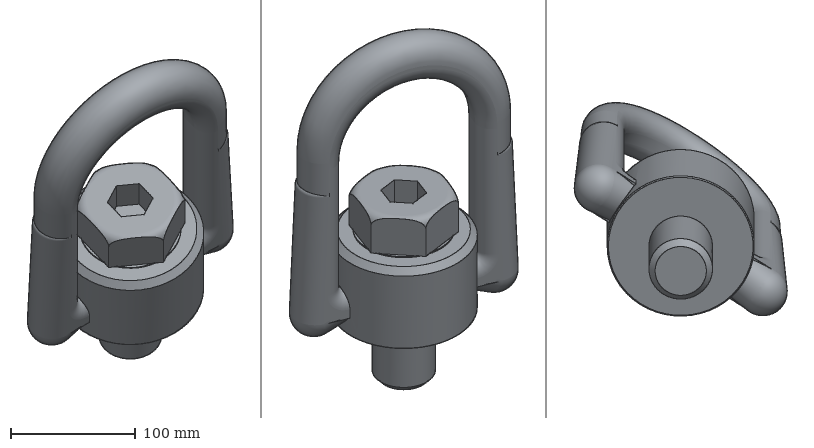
import cadquery as cq
import math

body_bottom = 65.0
body_top = 141.0
washer_top = 142.0
head_top = 177.5
ring_top = 328.0

shank_dia = 51.0
shank_chamfer_width = 5.0
shank_chamfer_height = 5.5
body_dia = 117.8
body_top_chamfer = 5.5
body_bottom_chamfer = 1.0
washer_dia = 81.5
head_across_flats = 76.5
head_top_dia = 70.5
socket_across_flats = 31.8
socket_depth = 26.2

ring_width = 39.0
rim_radius = ring_width / 2
arch_centre_z = 236.5
rim_path_radius = ring_top - arch_centre_z - rim_radius

opening_half_width = 60.5
opening_arch_z = 230.0
opening_bottom = 105.0
opening_corner_radius = 4.0
opening_rounding = 14.5

collar_z = 208.0
collar_axis_y = 73.5
collar_rounding = 4.0
foot_y = 78.7
foot_z = 82.5
pivot_y = 59.7
pivot_z = 90.5


def make_shank():
    shank = cq.Workplane("XY").circle(shank_dia / 2).extrude(body_bottom)
    return shank.faces("<Z").chamfer(shank_chamfer_height, shank_chamfer_width)


def make_body():
    body = (
        cq.Workplane("XY", origin=(0, 0, body_bottom))
        .circle(body_dia / 2)
        .extrude(body_top - body_bottom)
    )
    body = body.faces(">Z").chamfer(body_top_chamfer)
    return body.faces("<Z").chamfer(body_bottom_chamfer)


def across_corners(across_flats):
    return across_flats / math.cos(math.pi / 6)


def hexagon(across_flats, bottom, height):
    """Hexagonal prism with two corners on the X axis."""
    return (
        cq.Workplane("XY", origin=(0, 0, bottom))
        .polygon(6, across_corners(across_flats))
        .extrude(height)
    )


def make_head():
    corner_radius = across_corners(head_across_flats) / 2
    washer = (
        cq.Workplane("XY", origin=(0, 0, body_top))
        .circle(washer_dia / 2)
        .extrude(washer_top - body_top)
    )
    prism = hexagon(head_across_flats, washer_top, head_top - washer_top)
    turned_envelope = (
        cq.Workplane("XY", origin=(0, 0, washer_top))
        .circle(corner_radius)
        .extrude(head_top - washer_top)
        .faces(">Z")
        .edges()
        .fillet(corner_radius - head_top_dia / 2)
    )
    socket = hexagon(socket_across_flats, head_top - socket_depth, socket_depth)
    return washer.union(prism.intersect(turned_envelope)).cut(socket)


def plate(outline):
    """Extrude a YZ outline to the full ring width, centred on X = 0."""
    return outline.extrude(rim_radius, both=True)


def rod(start, end):
    """Round rod of the rim radius between two (y, z) points."""
    dy = end[0] - start[0]
    dz = end[1] - start[1]
    return cq.Workplane(
        cq.Solid.makeCylinder(
            rim_radius, math.hypot(dy, dz), cq.Vector(0, *start), cq.Vector(0, dy, dz)
        )
    )


def make_arch_envelope():
    """Filled arch and straight legs with a half-round outer rim."""
    half_profile = (
        cq.Workplane("XY", origin=(0, 0, arch_centre_z))
        .moveTo(-rim_radius, 0)
        .lineTo(-rim_radius, rim_path_radius)
        .threePointArc((0, rim_path_radius + rim_radius), (rim_radius, rim_path_radius))
        .lineTo(rim_radius, 0)
        .close()
    )
    arch = half_profile.revolve(180, (0, 0, 0), (1, 0, 0))
    legs = (
        cq.Workplane("XY", origin=(0, 0, foot_z))
        .slot2D(2 * (rim_path_radius + rim_radius), ring_width, 90)
        .extrude(arch_centre_z - foot_z)
    )
    return arch.union(legs)


def make_leg_envelope(side):
    """Leaning lower leg, ball foot and pivot arm; side is +1 or -1 along Y."""
    collar = (side * collar_axis_y, collar_z)
    foot = (side * foot_y, foot_z)
    pivot = (side * pivot_y, pivot_z)
    middle = (0, pivot_z)

    web_corners = [(0, collar_z), collar, foot, pivot, middle]
    web = plate(cq.Workplane("YZ").polyline(web_corners).close())
    leg = rod(foot, collar).faces(">Z").edges().fillet(collar_rounding)
    envelope = web.union(leg).union(rod(foot, pivot)).union(rod(pivot, middle))
    for y, z in (foot, pivot):
        ball = cq.Workplane("XY", origin=(0, y, z)).sphere(rim_radius)
        envelope = envelope.union(ball)
    return envelope


def make_opened_plate():
    """Wide plate whose arched opening has generously rounded edges."""
    margin = 2 * rim_radius
    half_width = foot_y + margin
    blank = plate(
        cq.Workplane("YZ")
        .moveTo(-half_width, 0)
        .lineTo(half_width, 0)
        .lineTo(half_width, ring_top + margin)
        .lineTo(-half_width, ring_top + margin)
        .close()
    )
    opening = plate(
        cq.Workplane("YZ")
        .moveTo(-opening_half_width, opening_bottom)
        .lineTo(opening_half_width, opening_bottom)
        .lineTo(opening_half_width, opening_arch_z)
        .threePointArc(
            (0, opening_arch_z + opening_half_width), (-opening_half_width, opening_arch_z)
        )
        .close()
    )
    opening = opening.edges("|X and <Z").fillet(opening_corner_radius)
    around_opening = cq.selectors.BoxSelector(
        (-margin, -foot_y, foot_z), (margin, foot_y, ring_top)
    )
    opened = blank.cut(opening)
    return opened.faces("|X").edges(around_opening).fillet(opening_rounding)


def make_ring():
    envelope = make_arch_envelope()
    for side in (1, -1):
        envelope = envelope.union(make_leg_envelope(side))
    return envelope.intersect(make_opened_plate())


result = make_shank().union(make_body()).union(make_head()).union(make_ring())